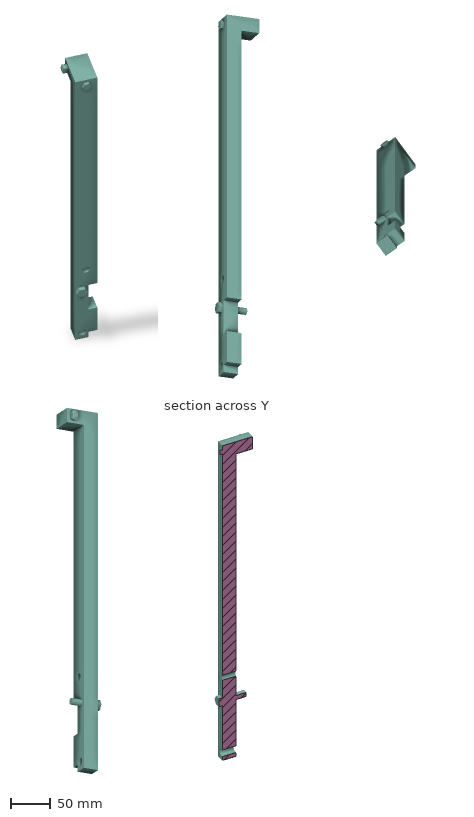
import cadquery as cq

height = 479.0
body_width = 44.0
bar_width = 20.0
arm_height = 19.0
depth = 29.0
bar_left = body_width - bar_width

web_depth = 17.2
notch_bottom = 51.3
notch_top = 96.8
foot_step_height = 9.5

hole_diameter = 10.0
hole_centers = [(14.5, 126.0), (9.5, 11.0)]

pivot_y = 8.0
pivot_z = 89.5
pivot_diameter = 8.5
pivot_length = 14.5
pivot_head_flats = 13.0
pivot_head_height = 5.5

bolt_y = depth / 2
bolt_z = height - arm_height / 2
bolt_head_flats = 10.0
bolt_head_height = 4.0

stud_x = 8.5
stud_drop = 10.0
stud_z = height - stud_drop
stud_width = 8.0
stud_diameter = 11.5
stud_rim_diameter = 13.0
stud_length = 7.5
stud_tip_diameter = 6.0
stud_neck_length = 5.5
stud_rim_thickness = 0.5

hex_corner_ratio = 2 / 3 ** 0.5


def box(x0, x1, y0, y1, z0, z1):
    """Block between the given limits."""
    return cq.Workplane("XY").box(x1 - x0, y1 - y0, z1 - z0, centered=False).translate((x0, y0, z0))


def cylinder_x(x0, x1, y, z, diameter):
    """Cylinder along X."""
    return cq.Workplane("YZ", origin=(x0, y, z)).circle(diameter / 2).extrude(x1 - x0)


def hex_head(y, z, flats, head_height):
    """Hexagonal bolt head on the right face, with corners pointing along Y."""
    plane = cq.Workplane("YZ", origin=(body_width, y, z))
    return plane.polygon(6, flats * hex_corner_ratio).extrude(head_height)


def make_frame():
    """Bar and arm with the rear notches and cross holes."""
    bar = box(bar_left, body_width, 0, depth, 0, height)
    arm = box(0, body_width, 0, depth, height - arm_height, height)
    frame = bar.union(arm)
    for bottom, top in [(0, foot_step_height), (notch_bottom, notch_top)]:
        frame = frame.cut(box(bar_left, body_width, web_depth, depth, bottom, top))
    for y, z in hole_centers:
        frame = frame.cut(cylinder_x(bar_left, body_width, y, z, hole_diameter))
    return frame


def make_stud():
    """Stepped neck, rim and cone turned about the stud axis, with two flats cut on it."""
    rim_end = stud_neck_length + stud_rim_thickness
    profile = [
        (0, 0),
        (stud_diameter / 2, 0),
        (stud_diameter / 2, -stud_neck_length),
        (stud_rim_diameter / 2, -stud_neck_length),
        (stud_rim_diameter / 2, -rim_end),
        (stud_tip_diameter / 2, -stud_length),
        (0, -stud_length),
    ]
    turned = cq.Workplane("XY").polyline(profile).close().revolve(360, (0, 0), (0, 1))
    stud = turned.translate((stud_x, 0, stud_z))
    half_width = stud_width / 2
    half_rim = stud_rim_diameter / 2
    flats = box(
        stud_x - half_width, stud_x + half_width,
        -stud_length, 0,
        stud_z - half_rim, stud_z + half_rim,
    )
    return stud.intersect(flats)


pivot_shank = cylinder_x(bar_left - pivot_length, body_width, pivot_y, pivot_z, pivot_diameter)
result = (
    make_frame()
    .union(pivot_shank)
    .union(hex_head(pivot_y, pivot_z, pivot_head_flats, pivot_head_height))
    .union(hex_head(bolt_y, bolt_z, bolt_head_flats, bolt_head_height))
    .union(make_stud())
)